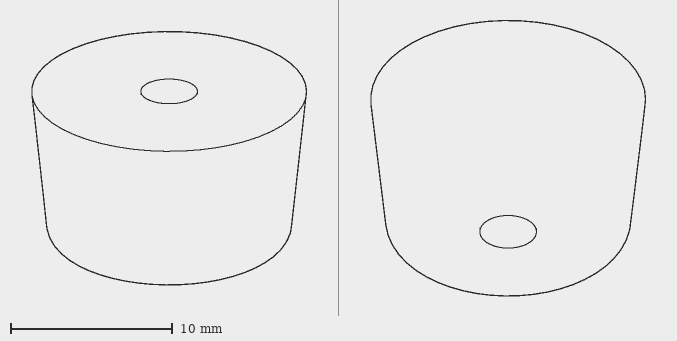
import cadquery as cq

top_diameter = 17.0
base_diameter = 15.0
height = 10.0
hole_diameter = 3.5
base_edge_radius = 1.0

body = (
    cq.Workplane("XY")
    .circle(base_diameter / 2)
    .workplane(offset=height)
    .circle(top_diameter / 2)
    .loft(ruled=True)
)

body = body.faces("<Z").edges().fillet(base_edge_radius)

result = body.faces(">Z").workplane().hole(hole_diameter)